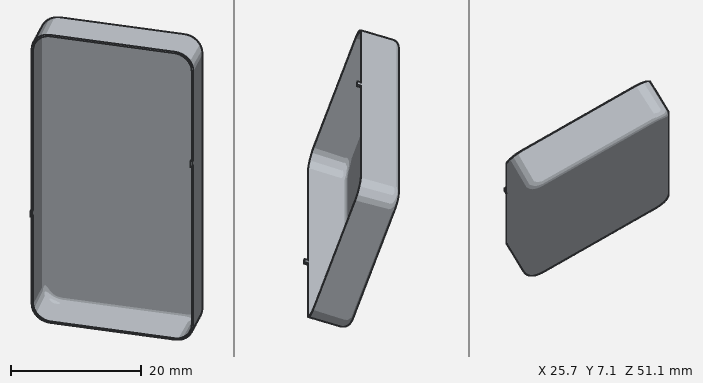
import cadquery as cq

width = 25.7
height = 51.1
total_depth = 7.1
tab_length = 0.6
tray_depth = total_depth - tab_length
corner_radius = 3.0
back_edge_radius = 1.3

wall = 0.3
floor_thickness = wall
floor_edge_radius = back_edge_radius - wall

tab_height = 1.0
tab_offset = 6.35

back_y = total_depth / 2
rim_y = back_y - tray_depth


def rounded_block(size_x, size_z, depth, side_radius, back_radius):
    """Block from the rim towards +Y, rounded at its corners and back edge."""
    block = cq.Workplane("XY").box(size_x, depth, size_z).edges("|Y").fillet(side_radius)
    block = block.faces(">Y").edges().fillet(back_radius)
    return block.translate((0, rim_y + depth / 2, 0))


def rim_tab(side):
    """Small tab flush with the outer wall; side is -1 for -X and 1 for +X."""
    tab = cq.Workplane("XY").box(wall, tab_length, tab_height)
    center_x = side * (width - wall) / 2
    return tab.translate((center_x, rim_y - tab_length / 2, side * tab_offset))


shell = rounded_block(width, height, tray_depth, corner_radius, back_edge_radius)
cavity = rounded_block(
    width - 2 * wall,
    height - 2 * wall,
    tray_depth - floor_thickness,
    corner_radius - wall,
    floor_edge_radius,
)
result = shell.cut(cavity)

for side in (-1, 1):
    result = result.union(rim_tab(side))